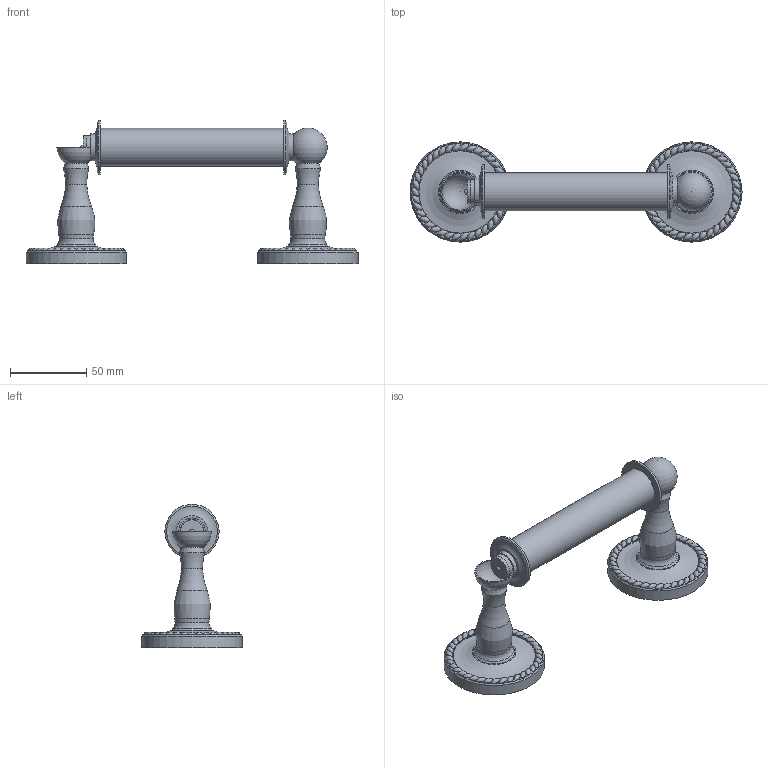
import cadquery as cq
import math

overall_length = 217.73
base_diameter = 65.79
base_radius = base_diameter / 2
post_spacing = overall_length - base_diameter
axis_height = 76.2
flange_radius = 17.78

base_height = 8.5
base_edge_width = 0.7
base_edge_height = 1.0

strand_count = 38
strand_circle_radius = 29.4
strand_half_length = 3.5
strand_half_width = 1.75
strand_angle = 37

dish_outer = (27.0, 8.0)
dish_middle = (20.0, 8.9)
dish_inner = (14.2, 11.2)
collar_bottom = (13.5, 11.2)
collar_top = (12.5, 12.5)
foot_middle = (11.45, 14.0)
foot_top = (11.1, 16.6)
bulge_bottom = (11.4, 19.2)
bulge_middle = (12.3, 27.6)
bulge_top = (10.0, 37.5)
taper_middle = (7.9, 44.3)
waist = (6.9, 51.8)
flare_middle = (7.25, 57.0)
flare_top = (8.3, 62.2)
neck_top_radius = 7.3

ball_radius = 12.7
ball_wall = 0.7
ball_flat_offset = 9.6
neck_top = (neck_top_radius, axis_height - math.sqrt(ball_radius**2 - neck_top_radius**2))
neck_core_height = axis_height - ball_radius + ball_wall / 2

roller_radius = 12.5
flange_face_offset = 15.9
flange_rim_offset = 14.4
flange_crown_offset = 13.8
flange_crown_radius = 16.6
flange_hub_offset = 12.5
flange_hub_radius = 10.4
flange_curve_offset = 13.5
flange_curve_radius = 12.4
hub_radius = 8.86
nub_radius = 7.85
nub_tip_radius = 7.6
nub_taper_offset = 6.6
nub_tip_offset = 4.5
button_radius = 1.6
button_end_offset = nub_tip_offset - button_radius
button_middle_offset = nub_tip_offset - button_radius * math.sin(math.pi / 4)
button_middle_radius = button_radius * math.cos(math.pi / 4)


def rope_ring():
    """Spindle-shaped strands lying aslant around the base plate's edge."""
    strand = (
        cq.Workplane("XY")
        .moveTo(-strand_half_length, 0)
        .threePointArc((0, strand_half_width), (strand_half_length, 0))
        .close()
        .revolve(360, (0, 0, 0), (1, 0, 0))
        .rotate((0, 0, 0), (0, 0, 1), strand_angle - 90)
        .translate((strand_circle_radius, 0, base_height))
        .val()
    )
    pitch = 360 / strand_count
    return [strand.rotate(cq.Vector(), cq.Vector(0, 0, 1), i * pitch) for i in range(strand_count)]


def turned_post():
    """Base plate, dish and stem turned about the Z axis, up to the ball."""
    return (
        cq.Workplane("XZ")
        .lineTo(base_radius, 0)
        .lineTo(base_radius, base_height - base_edge_height)
        .lineTo(base_radius - base_edge_width, base_height)
        .lineTo(dish_outer[0], base_height)
        .lineTo(*dish_outer)
        .threePointArc(dish_middle, dish_inner)
        .lineTo(*collar_bottom)
        .lineTo(*collar_top)
        .threePointArc(foot_middle, foot_top)
        .lineTo(*bulge_bottom)
        .threePointArc(bulge_middle, bulge_top)
        .threePointArc(taper_middle, waist)
        .threePointArc(flare_middle, flare_top)
        .lineTo(*neck_top)
        .lineTo(0, neck_core_height)
        .close()
        .revolve(360, (0, 0, 0), (0, 1, 0))
    )


def post(side, open_top):
    """One post; side is -1 or 1 along X, and the ball's flat faces the other post."""
    centre = (0, 0, axis_height)
    ball_box = 2 * ball_radius
    beyond_flat = (
        cq.Workplane("XY")
        .box(ball_box, ball_box, ball_box)
        .translate((-side * (ball_flat_offset + ball_radius), 0, axis_height))
    )
    nub_hole = (
        cq.Workplane("YZ")
        .center(0, axis_height)
        .circle(nub_radius)
        .extrude(-side * ball_radius)
    )
    ball = cq.Workplane("XY").sphere(ball_radius).translate(centre).cut(beyond_flat)
    cavity = cq.Workplane("XY").sphere(ball_radius - ball_wall).translate(centre)
    body = turned_post().union(ball).cut(cavity).cut(nub_hole)
    if open_top:
        upper_half = (
            cq.Workplane("XY", origin=centre)
            .rect(ball_box, ball_box)
            .extrude(ball_box)
        )
        body = body.cut(upper_half)
    body = cq.Workplane(body.val().fuse(*rope_ring()))
    return body.translate((side * post_spacing / 2, 0, 0))


def roller():
    """Spindle turned about the X axis: one half is revolved and then mirrored."""
    def place(offset, radius):
        return (-post_spacing / 2 + offset, radius)

    half = (
        cq.Workplane("XY")
        .lineTo(0, roller_radius)
        .lineTo(*place(flange_face_offset, roller_radius))
        .lineTo(*place(flange_face_offset, flange_radius))
        .lineTo(*place(flange_rim_offset, flange_radius))
        .lineTo(*place(flange_crown_offset, flange_crown_radius))
        .threePointArc(
            place(flange_curve_offset, flange_curve_radius),
            place(flange_hub_offset, flange_hub_radius),
        )
        .lineTo(*place(flange_hub_offset, hub_radius))
        .lineTo(*place(ball_flat_offset, hub_radius))
        .lineTo(*place(ball_flat_offset, nub_radius))
        .lineTo(*place(nub_taper_offset, nub_radius))
        .lineTo(*place(nub_tip_offset, nub_tip_radius))
        .lineTo(*place(nub_tip_offset, button_radius))
        .threePointArc(place(button_middle_offset, button_middle_radius), place(button_end_offset, 0))
        .close()
        .revolve(360, (0, 0, 0), (1, 0, 0))
    )
    return half.union(half.mirror("YZ")).translate((0, 0, axis_height))


left_post = post(-1, open_top=True)
right_post = post(1, open_top=False)
spindle = roller()
result = cq.Compound.makeCompound([*left_post.vals(), *right_post.vals(), spindle.val()])